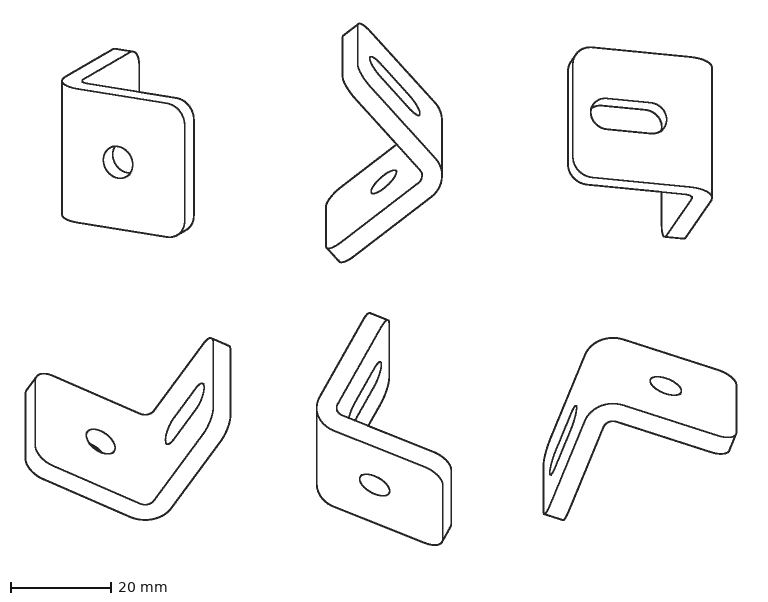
import cadquery as cq

leg_length = 30.0
height = 28.0
thickness = 4.0

outer_bend_radius = 6.0
inner_bend_radius = outer_bend_radius - thickness
corner_radius = 4.0

hole_diameter = 6.6
hole_x = leg_length / 2
slot_width = hole_diameter
slot_length = 15.6
slot_y = 18.5
mid_height = height / 2


def bent_sheet():
    """L-shaped sheet with its outer corner at the origin and a rounded bend."""
    return (
        cq.Workplane("XY")
        .moveTo(0, 0)
        .lineTo(leg_length, 0)
        .lineTo(leg_length, thickness)
        .lineTo(thickness, thickness)
        .lineTo(thickness, leg_length)
        .lineTo(0, leg_length)
        .close()
        .extrude(height)
        .edges(cq.selectors.NearestToPointSelector((0, 0, mid_height)))
        .fillet(outer_bend_radius)
        .edges(cq.selectors.NearestToPointSelector((thickness, thickness, mid_height)))
        .fillet(inner_bend_radius)
    )


def round_free_corners(sheet):
    """Round the upper and lower corners at the free end of each leg."""
    sheet = sheet.faces(">X").edges("|Y").fillet(corner_radius)
    return sheet.faces(">Y").edges("|X").fillet(corner_radius)


def hole_cutter():
    """Cylinder through the X leg, running along +Y."""
    return (
        cq.Workplane("XZ", origin=(hole_x, 0, mid_height))
        .circle(hole_diameter / 2)
        .extrude(-thickness)
    )


def slot_cutter():
    """Round-ended slot through the Y leg, long along Y."""
    return (
        cq.Workplane("YZ", origin=(0, slot_y, mid_height))
        .slot2D(slot_length, slot_width)
        .extrude(thickness)
    )


bracket = round_free_corners(bent_sheet())
result = bracket.cut(hole_cutter()).cut(slot_cutter())